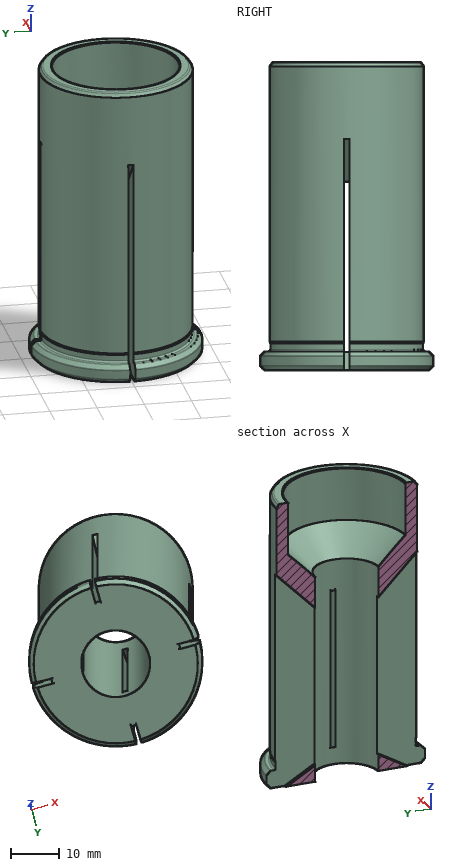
import cadquery as cq
import math

height = 64.0
body_radius = 32.0 / 2
bore_radius = 14.3 / 2

cup_radius = 26.5 / 2
cup_depth = 11.8
cup_lip = 0.2
cone_drop = cup_radius - bore_radius

top_chamfer_width = 0.65
top_chamfer_height = 0.9
top_edge_fillet = 0.45

flange_radius = 36.0 / 2
flange_height = 4.0
flange_chamfer = 0.95
flange_edge_fillet = 0.2

groove_radius = 15.9
groove_top = 6.0
groove_taper = 0.4

slot_count = 4
slot_width = 1.1
slot_top = 48.0
slot_end_angle = 45.0
slot_foot_height = 3.85
slot_foot_angle = 30.0


def make_sleeve():
    """Revolve the half section of the sleeve, flange, groove and cup."""
    cup_floor = height - cup_depth
    section = (
        cq.Workplane("XZ")
        .moveTo(bore_radius, 0)
        .lineTo(flange_radius - flange_chamfer, 0)
        .lineTo(flange_radius, flange_chamfer)
        .lineTo(flange_radius, flange_height - flange_chamfer)
        .lineTo(flange_radius - flange_chamfer, flange_height)
        .lineTo(groove_radius + groove_taper, flange_height)
        .radiusArc((groove_radius, flange_height + groove_taper), groove_taper)
        .lineTo(groove_radius, groove_top - groove_taper)
        .lineTo(body_radius, groove_top)
        .lineTo(body_radius, height - top_chamfer_height)
        .lineTo(body_radius - top_chamfer_width, height)
        .lineTo(cup_radius + cup_lip, height)
        .lineTo(cup_radius, height - cup_lip)
        .lineTo(cup_radius, cup_floor)
        .lineTo(bore_radius, cup_floor - cone_drop)
        .close()
    )
    return section.revolve(360, (0, 0, 0), (0, 1, 0))


def edge_circle(radius, z):
    """Select the circular edge with the given radius and height."""
    margin = 0.005
    return cq.selectors.BoxSelector(
        (-radius - margin, -radius - margin, z - margin),
        (radius + margin, radius + margin, z + margin),
        boundingbox=True,
    ) - cq.selectors.BoxSelector(
        (-radius + margin, -radius + margin, z - margin),
        (radius - margin, radius - margin, z + margin),
        boundingbox=True,
    )


def round_edges(sleeve):
    """Soften the flange rim, the upper flange shoulder and the top of the sleeve."""
    shoulder_radius = flange_radius - flange_chamfer
    return (
        sleeve.edges(edge_circle(flange_radius, flange_chamfer))
        .fillet(flange_edge_fillet)
        .edges(edge_circle(flange_radius, flange_height - flange_chamfer))
        .fillet(flange_edge_fillet)
        .edges(edge_circle(shoulder_radius, flange_height))
        .fillet(flange_edge_fillet)
        .edges(edge_circle(body_radius - top_chamfer_width, height))
        .fillet(top_edge_fillet)
    )


def make_slot():
    """One slot along +X, with a sloping upper end and a sloping foot beside the bore."""
    end_slope = math.tan(math.radians(slot_end_angle))
    foot_slope = math.tan(math.radians(slot_foot_angle))
    end_drop = body_radius * end_slope
    foot_radius = bore_radius + slot_foot_height / foot_slope
    return (
        cq.Workplane("XZ")
        .moveTo(0, slot_foot_height)
        .lineTo(bore_radius, slot_foot_height)
        .lineTo(foot_radius, 0)
        .lineTo(flange_radius, 0)
        .lineTo(flange_radius, slot_top)
        .lineTo(body_radius, slot_top)
        .lineTo(0, slot_top - end_drop)
        .close()
        .extrude(slot_width / 2, both=True)
    )


result = round_edges(make_sleeve())
slot = make_slot()
for index in range(slot_count):
    angle = index * 360 / slot_count
    result = result.cut(slot.rotate((0, 0, 0), (0, 0, 1), angle))